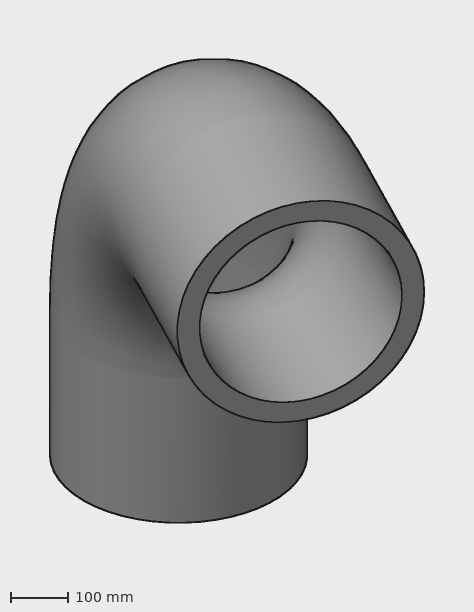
import cadquery as cq

overall_length = 970.0
outer_diameter = 450.0
bore_diameter = 369.0
straight_length = 300.0

bend_radius = overall_length - straight_length - outer_diameter / 2
bend_angle = 90


def elbow(diameter):
    """Solid round elbow: straight up +Z, quarter bend, straight out along +X."""
    inlet = cq.Workplane("XY").circle(diameter / 2).extrude(straight_length)
    bend = (
        cq.Workplane("XY", origin=(0, 0, straight_length))
        .circle(diameter / 2)
        .revolve(bend_angle, (bend_radius, 0), (bend_radius, 1))
    )
    outlet = (
        cq.Workplane("YZ", origin=(bend_radius, 0, straight_length + bend_radius))
        .circle(diameter / 2)
        .extrude(straight_length)
    )
    return inlet.union(bend).union(outlet)


result = elbow(outer_diameter).cut(elbow(bore_diameter))